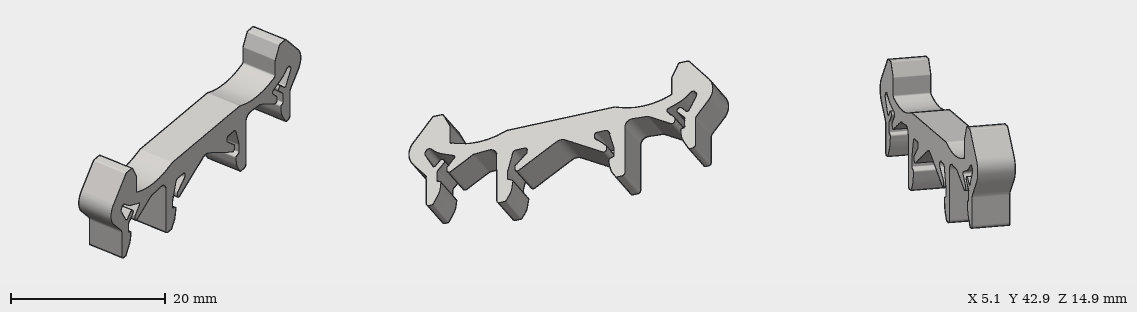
import cadquery as cq
import math


thickness = 5.1
half_length = 21.45
height = 14.95
leg_thickness = 1.55
small_round = 0.25

beam_top_z = 10.5
dip_inner_y = 7.65
dip_inner_round = 0.5
dip_radius = 10.5
dip_tangent_z = 8.95

head_inner_y = 15.65
head_top_inner_y = 16.65
head_knee_z = 13.05
head_top_round = 0.4
nose_z = 10.1
nose_radius = 2.45
nose_slope = math.radians(49.5)

outer_leg_y = 19.0
outer_leg_round = 0.77
outer_leg_bottom_z = 1.85
inner_leg_y = 9.05
inner_leg_bottom_z = 0.0

belly_radius = 2.57
heel_round = 0.45
shelf_round = 0.15
outer_foot_widths = {"toe": 0.95, "belly": 1.95, "barb": 2.1}
outer_foot_heights = {"belly": 1.7, "barb": 3.17, "shelf": 3.4}
inner_foot_widths = {"toe": 1.3, "belly": 2.05, "barb": 2.3}
inner_foot_heights = {"belly": 1.2, "barb": 2.87, "shelf": 3.2}

finger_tip_y = 16.25
finger_tip_z = 7.9
finger_width = 0.77
finger_tip_round = 0.35
finger_root_round = 0.45

slot_valley_y = 17.93
slot_outer_y = 19.25
slot_outer_z = 9.7
slot_top_y = 18.7
slot_top_z = 10.5
slot_round = 0.45
slot_bend_y = 17.33
slot_bend_z = 9.35
slot_bend_radius = 3.85
slot_end_y = 14.8
slot_end_z = 8.35

outer_hook_y = 16.1
outer_hook_z = 5.88
outer_hook_top_z = 6.95
web_outer_y = 12.3
web_outer_z = 8.0
web_inner_z = 8.25
web_round = 1.05

hook_top_round = 0.3
hook_bottom_round = 0.4

pocket_neck_z = 4.37
pocket_top_outer_y = 6.7
pocket_top_z = 7.3
pocket_round = 0.55
pocket_end_y = 4.75
inner_hook_y = 6.48
inner_hook_z = 3.85
inner_hook_top_z = 4.98
pocket_end_z = 6.5
pocket_end_round = 0.35
peak_z = 7.55
peak_radius = 1.35


def foot(leg_y, bottom_z, widths, heights):
    """Foot corners from the outer underside corner round the belly and up to the leg's inner face."""
    return [
        (leg_y, bottom_z, heel_round),
        (leg_y - widths["toe"], bottom_z, small_round),
        (leg_y - widths["belly"], bottom_z + heights["belly"], belly_radius),
        (leg_y - widths["barb"], bottom_z + heights["barb"], small_round),
        (leg_y - leg_thickness, bottom_z + heights["shelf"], shelf_round),
    ]


def beam_and_head():
    """Beam top, shallow dip and head; the nose lies between two equal slopes and reaches half_length."""
    nose_corner_y = half_length + nose_radius * (1 / math.sin(nose_slope) - 1)
    head_top_outer_y = nose_corner_y - (height - nose_z) / math.tan(nose_slope)
    outer_leg_top_z = nose_z - (nose_corner_y - outer_leg_y) * math.tan(nose_slope)
    dip_middle_y = (dip_inner_y + head_inner_y) / 2
    return [
        (dip_inner_y, beam_top_z, dip_inner_round),
        (dip_middle_y, dip_tangent_z, dip_radius),
        (head_inner_y, beam_top_z, small_round),
        (head_inner_y, head_knee_z, small_round),
        (head_top_inner_y, height, small_round),
        (head_top_outer_y, height, head_top_round),
        (nose_corner_y, nose_z, nose_radius),
        (outer_leg_y, outer_leg_top_z, outer_leg_round),
    ]


def finger_and_slot_valley():
    """Finger with parallel sides at 45 degrees, down to the valley between it and the slot wall."""
    neck_y = outer_leg_y - leg_thickness
    root_z = finger_tip_z - (neck_y - finger_tip_y)
    offset = finger_width / math.sqrt(2)
    valley_z = finger_tip_z + offset - (slot_valley_y - finger_tip_y - offset)
    return [
        (neck_y, root_z, finger_root_round),
        (finger_tip_y, finger_tip_z, finger_tip_round),
        (finger_tip_y + offset, finger_tip_z + offset, finger_tip_round),
        (slot_valley_y, valley_z, small_round),
    ]


def hook(tip_y, top_z, bottom_z):
    """Blunt hook tip, its end face vertical."""
    return [
        (tip_y, top_z, hook_top_round),
        (tip_y, bottom_z, hook_bottom_round),
    ]


def slot_top_and_web():
    """Slot roof, outer hook and the beam underside up to the inner leg."""
    return [
        (slot_outer_y, slot_outer_z, slot_round),
        (slot_top_y, slot_top_z, slot_round),
        (slot_bend_y, slot_bend_z, slot_bend_radius),
        (slot_end_y, slot_end_z, small_round),
        *hook(outer_hook_y, outer_hook_top_z, outer_hook_z),
        (web_outer_y, web_outer_z, small_round),
        (inner_leg_y, web_inner_z, web_round),
    ]


def pocket_and_inner_hook():
    """Pocket beside the inner leg, inner hook and the central peak under the beam."""
    return [
        (inner_leg_y - leg_thickness, pocket_neck_z, small_round),
        (pocket_top_outer_y, pocket_top_z, pocket_round),
        (pocket_end_y, pocket_top_z, pocket_end_round),
        (pocket_end_y, pocket_end_z, pocket_end_round),
        *hook(inner_hook_y, inner_hook_top_z, inner_hook_z),
        (0, peak_z, peak_radius),
    ]


def half_outline():
    """The +Y half, from the beam top out over the head and back underneath to the middle."""
    return (
        beam_and_head()
        + foot(outer_leg_y, outer_leg_bottom_z, outer_foot_widths, outer_foot_heights)
        + finger_and_slot_valley()
        + slot_top_and_web()
        + foot(inner_leg_y, inner_leg_bottom_z, inner_foot_widths, inner_foot_heights)
        + pocket_and_inner_hook()
    )


def rounded_profile(corners):
    """Closed outline whose corners are replaced by tangent arcs of the given radii."""
    outline = None
    count = len(corners)
    for index, (y, z, radius) in enumerate(corners):
        corner = cq.Vector(y, z)
        before = (cq.Vector(*corners[index - 1][:2]) - corner).normalized()
        after = (cq.Vector(*corners[(index + 1) % count][:2]) - corner).normalized()
        half_angle = before.getAngle(after) / 2
        setback = radius / math.tan(half_angle)
        start = corner + before * setback
        if outline is None:
            outline = cq.Workplane("YZ").moveTo(start.x, start.y)
        else:
            outline = outline.lineTo(start.x, start.y)
        bisector = (before + after).normalized()
        middle = corner + bisector * (radius / math.sin(half_angle) - radius)
        end = corner + after * setback
        outline = outline.threePointArc((middle.x, middle.y), (end.x, end.y))
    return outline.close()


half = half_outline()
mirrored_half = [(-y, z, radius) for y, z, radius in reversed(half[:-1])]
result = rounded_profile(half + mirrored_half).extrude(thickness)